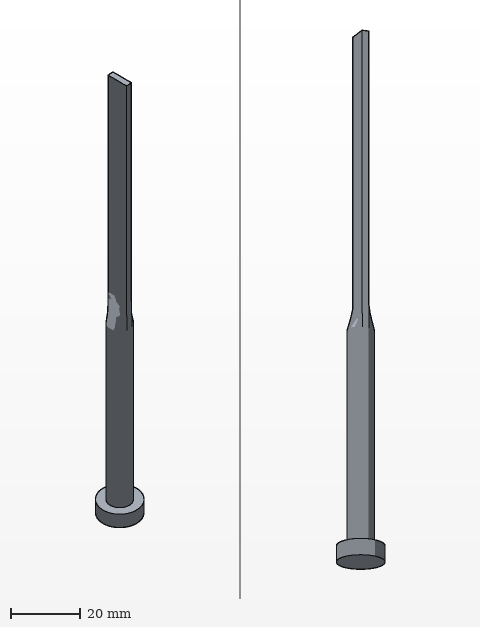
import cadquery as cq
import math

total_length = 160.0
head_diameter = 14.0
head_height = 5.0
shaft_diameter = 8.0
blade_width = 7.4
blade_thickness = 2.0
blade_length = 80.0
taper_length = 10.0

taper_top = total_length - blade_length
shaft_top = taper_top - taper_length

head = cq.Workplane("XY").circle(head_diameter / 2).extrude(head_height)
shaft = cq.Workplane("XY").circle(shaft_diameter / 2).extrude(shaft_top)

blade = (
    cq.Workplane("XY")
    .workplane(offset=taper_top)
    .rect(blade_width, blade_thickness)
    .extrude(blade_length)
)


def make_taper():
    """Blend the shaft circle, split into four arcs, into the four sides of the blade."""
    radius = shaft_diameter / 2
    half_width = blade_width / 2
    half_thickness = blade_thickness / 2
    split_x = math.sqrt(radius**2 - half_thickness**2)
    return (
        cq.Workplane("XY")
        .workplane(offset=shaft_top)
        .moveTo(-split_x, -half_thickness)
        .threePointArc((0, -radius), (split_x, -half_thickness))
        .threePointArc((radius, 0), (split_x, half_thickness))
        .threePointArc((0, radius), (-split_x, half_thickness))
        .threePointArc((-radius, 0), (-split_x, -half_thickness))
        .close()
        .workplane(offset=taper_length)
        .moveTo(-half_width, -half_thickness)
        .lineTo(half_width, -half_thickness)
        .lineTo(half_width, half_thickness)
        .lineTo(-half_width, half_thickness)
        .close()
        .loft(ruled=True, combine=True)
    )


result = head.union(shaft).union(make_taper()).union(blade)